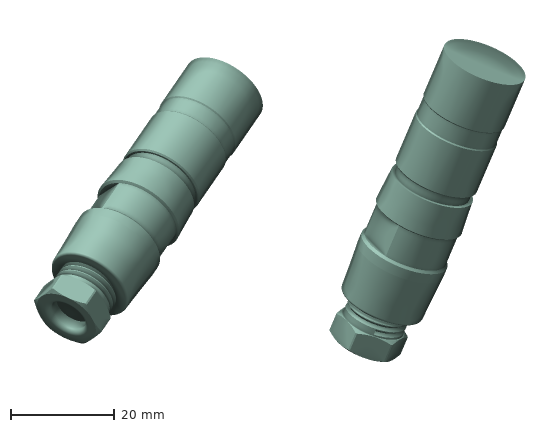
import cadquery as cq
import math

total_length = 64.3

sleeve_diameter = 17.0
sleeve_groove_diameter = 16.6
sleeve_groove_start = 10.9
sleeve_groove_end = 15.1
sleeve_groove_bevel = 0.25
sleeve_end = 26.0
sleeve_end_bevel = 0.3
neck_diameter = 15.5

collar_start = 28.0
collar_end = 35.3
body_diameter = 17.0
body_across_flats = 15.0
nut_start = 42.3
nut_land_end = 44.85
nut_end = 55.0
rim_diameter = 18.0
collar_bevel_length = 0.35
collar_start_diameter = 17.0
nut_end_diameter = 16.9
nut_bevel_length = 0.5
nut_end_fillet = 0.5

thread_diameter = 12.5
thread_pitch = 1.27
thread_depth = 0.65
thread_groove_half_width = 0.55
thread_runout = 0.85
head_start = 59.4
head_across_flats = 13.0
head_corner_diameter = 14.8
head_bevel_angle = 30.0

hexagon_turn = 3.3
half_corner_angle = 30.0

bore_diameter = 7.6
bore_depth = 3.0
bore_mouth_fillet = 1.05

overlap = 0.5
cutter_clearance = 0.05


def revolve_profile(points):
    """Revolve (radius, station) points, closed along the axis, around Y."""
    first_station = points[0][1]
    last_station = points[-1][1]
    closed = [(0, first_station)] + points + [(0, last_station)]
    outline = [(radius, -station) for radius, station in closed]
    return cq.Workplane("XY").polyline(outline).close().revolve(360, (0, 0), (0, 1))


def make_sleeve():
    outer = sleeve_diameter / 2
    groove = sleeve_groove_diameter / 2
    neck = neck_diameter / 2
    return revolve_profile([
        (outer, 0),
        (outer, sleeve_groove_start),
        (groove, sleeve_groove_start + sleeve_groove_bevel),
        (groove, sleeve_groove_end - sleeve_groove_bevel),
        (outer, sleeve_groove_end),
        (outer, sleeve_end - sleeve_end_bevel),
        (outer - sleeve_end_bevel, sleeve_end),
        (neck, sleeve_end),
        (neck, collar_start + overlap),
    ])


def make_collar():
    return revolve_profile([
        (collar_start_diameter / 2, collar_start),
        (rim_diameter / 2, collar_end - collar_bevel_length),
        (body_diameter / 2, collar_end),
    ])


def make_flatted_body():
    """Cylinder with two opposite spanner flats, lined up with a pair of head flats."""
    start = collar_end - overlap
    end = nut_start + overlap
    cylinder = revolve_profile([
        (body_diameter / 2, start),
        (body_diameter / 2, end),
    ])
    flats = cq.Workplane("XY").box(body_across_flats, end - start, 2 * body_diameter)
    flats = flats.rotate((0, 0, 0), (0, 1, 0), half_corner_angle + hexagon_turn)
    return cylinder.intersect(flats.translate((0, -(start + end) / 2, 0)))


def make_nut():
    nut = revolve_profile([
        (body_diameter / 2, nut_start),
        (rim_diameter / 2, nut_start + nut_bevel_length),
        (rim_diameter / 2, nut_land_end),
        (nut_end_diameter / 2, nut_end),
    ])
    return nut.faces("<Y").edges().fillet(nut_end_fillet)


def make_threaded_shank():
    """Shank with a right-handed V groove that runs out just behind the head."""
    radius = thread_diameter / 2
    root = radius - thread_depth
    half_width = thread_groove_half_width * (thread_depth + cutter_clearance) / thread_depth
    groove_height = head_start - thread_runout - nut_end + thread_pitch
    outer = radius + cutter_clearance
    helix = cq.Wire.makeHelix(thread_pitch, groove_height, radius)
    groove = (
        cq.Workplane("XZ")
        .polyline([(root, 0), (outer, half_width), (outer, -half_width)])
        .close()
        .sweep(cq.Workplane(helix), isFrenet=True)
    )
    shank = (
        cq.Workplane("XY", origin=(0, 0, -thread_runout - overlap))
        .circle(radius)
        .extrude(head_start - nut_end + 2 * overlap)
        .cut(groove)
    )
    shank = shank.rotate((0, 0, 0), (1, 0, 0), -90).rotate((0, 0, 0), (0, 1, 0), 90)
    return shank.translate((0, thread_runout - head_start, 0))


def make_head():
    """Hexagon with trimmed corners, beveled at both ends."""
    corner_to_corner = head_across_flats / math.cos(math.radians(half_corner_angle))
    hexagon = (
        cq.Workplane("XZ", origin=(0, -head_start, 0))
        .polygon(6, corner_to_corner)
        .extrude(total_length - head_start)
        .rotate((0, 0, 0), (0, 1, 0), hexagon_turn)
    )
    face_radius = head_across_flats / 2
    corner_radius = head_corner_diameter / 2
    bevel_length = (corner_radius - face_radius) * math.tan(math.radians(head_bevel_angle))
    envelope = revolve_profile([
        (face_radius, head_start),
        (corner_radius, head_start + bevel_length),
        (corner_radius, total_length - bevel_length),
        (face_radius, total_length),
    ])
    return hexagon.intersect(envelope)


def cut_bore(connector):
    """Blind cable bore with a rounded mouth in the end of the head."""
    end_face = connector.faces("<Y").workplane(origin=(0, -total_length, 0))
    bored = end_face.circle(bore_diameter / 2).cutBlind(-bore_depth)
    mouth_edge = cq.selectors.RadiusNthSelector(0)
    return bored.faces("<Y").edges("%CIRCLE").edges(mouth_edge).fillet(bore_mouth_fillet)


connector = (
    make_sleeve()
    .union(make_collar())
    .union(make_flatted_body())
    .union(make_nut())
    .union(make_threaded_shank())
    .union(make_head())
)
result = cut_bore(connector)